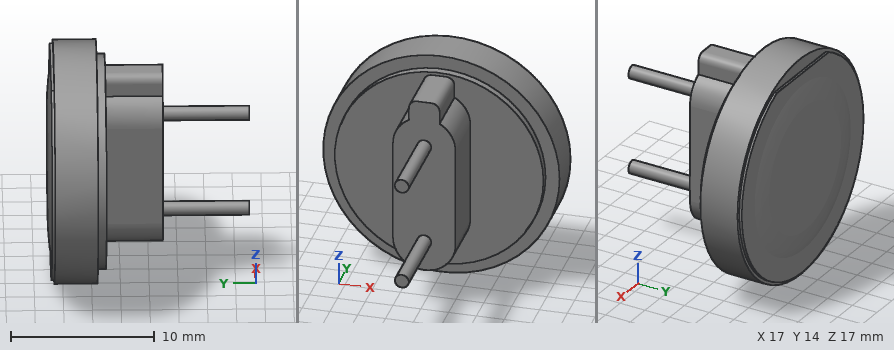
import cadquery as cq
import math

total_depth = 14.0
housing_diameter = 17
rim_depth = 3.0
step_diameter = 15.0
step_depth = 0.6

cover_diameter = 16.49
cover_plate_depth = 0.2
cover_flat_height = 7.46
dome_base_radius = 6.5
dome_crown_radius = 4.86
dome_depth = 0.2

plug_width = 4.49
plug_depth = 4.0
key_width = 2.21
key_top = 7.25
key_corner_radius = 0.6

pin_diameter = 1.0
pin_spacing = 7.48

step_face_y = -(rim_depth + step_depth)
plug_face_y = step_face_y - plug_depth
pin_tip_y = dome_depth + cover_plate_depth - total_depth
pin_heights = (-pin_spacing / 2, pin_spacing / 2)


def section_at(y):
    """Workplane at the given Y, drawn in X and Z and extruded towards -Y."""
    return cq.Workplane("XZ", origin=(0, y, 0))


def make_housing():
    """Round rim with a smaller step on its front."""
    rim = section_at(0).circle(housing_diameter / 2).extrude(rim_depth)
    step = section_at(-rim_depth).circle(step_diameter / 2).extrude(step_depth)
    return rim.union(step)


def make_cover():
    """Thin plate with one flat on top, carrying a shallow crown with a rounded edge."""
    radius = cover_diameter / 2
    half_flat = math.sqrt(radius**2 - cover_flat_height**2)
    plate = (
        section_at(cover_plate_depth)
        .moveTo(-half_flat, cover_flat_height)
        .threePointArc((0, -radius), (half_flat, cover_flat_height))
        .close()
        .extrude(cover_plate_depth)
    )
    crown_y = cover_plate_depth + dome_depth
    crown = (
        cq.Workplane("XY")
        .moveTo(0, crown_y)
        .lineTo(dome_crown_radius, crown_y)
        .tangentArcPoint((dome_base_radius, cover_plate_depth), relative=False)
        .lineTo(0, cover_plate_depth)
        .close()
        .revolve(360, (0, 0), (0, 1))
    )
    return plate.union(crown)


def make_plug():
    """Upright slot-shaped block with a round-cornered key at its top."""
    block = (
        section_at(step_face_y)
        .slot2D(pin_spacing + plug_width, plug_width, 90)
        .extrude(plug_depth)
    )
    key = (
        section_at(step_face_y)
        .center(0, key_top / 2)
        .rect(key_width, key_top)
        .extrude(plug_depth)
        .edges("|Y and >Z")
        .fillet(key_corner_radius)
    )
    return block.union(key)


def make_pin(height):
    """Straight contact pin standing on the plug face."""
    return (
        section_at(plug_face_y)
        .center(0, height)
        .circle(pin_diameter / 2)
        .extrude(plug_face_y - pin_tip_y)
    )


housing = make_housing()
cover = make_cover()
plug = make_plug()
pins = [make_pin(height).val() for height in pin_heights]

result = cq.Compound.makeCompound([housing.val(), cover.val(), plug.val(), *pins])